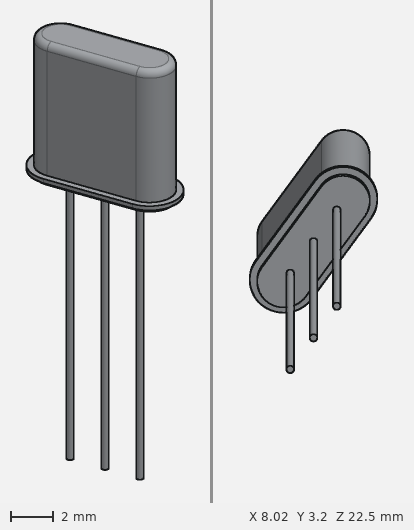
import cadquery as cq

total_height = 22.5
pin_length = 15.0
pin_diameter = 0.35
pin_pitch = 1.9
pin_count = 3

arc_center_spacing = 4.82
case_depth = 2.5
flange_depth = 3.2

base_height = 0.27
flange_thickness = 0.22
can_top_fillet = 0.35

base_bottom = pin_length
flange_bottom = base_bottom + base_height
can_bottom = flange_bottom + flange_thickness
can_height = total_height - can_bottom


def rounded_slab(depth, bottom, height):
    """Upright slab with semicircular ends, centred on the Z axis."""
    return (
        cq.Workplane("XY")
        .workplane(offset=bottom)
        .slot2D(arc_center_spacing + depth, depth)
        .extrude(height)
    )


def make_can():
    """Metal cover with a rounded top rim, standing on the flange."""
    return rounded_slab(case_depth, can_bottom, can_height).faces(">Z").edges().fillet(can_top_fillet)


def make_flange():
    """Thin plate that projects all round between the can and the base."""
    return rounded_slab(flange_depth, flange_bottom, flange_thickness)


def make_base():
    """Shallow base under the flange, carrying the pins."""
    return rounded_slab(case_depth, base_bottom, base_height)


def make_pin(x):
    """Straight round lead ending at the underside of the base."""
    return cq.Workplane("XY").center(x, 0).circle(pin_diameter / 2).extrude(pin_length)


can = make_can()
flange = make_flange()
base = make_base()

pins = []
for index in range(pin_count):
    pin_x = (index - (pin_count - 1) / 2) * pin_pitch
    pins.append(make_pin(pin_x))

result = cq.Compound.makeCompound(
    [can.val(), flange.val(), base.val(), *[pin.val() for pin in pins]]
)